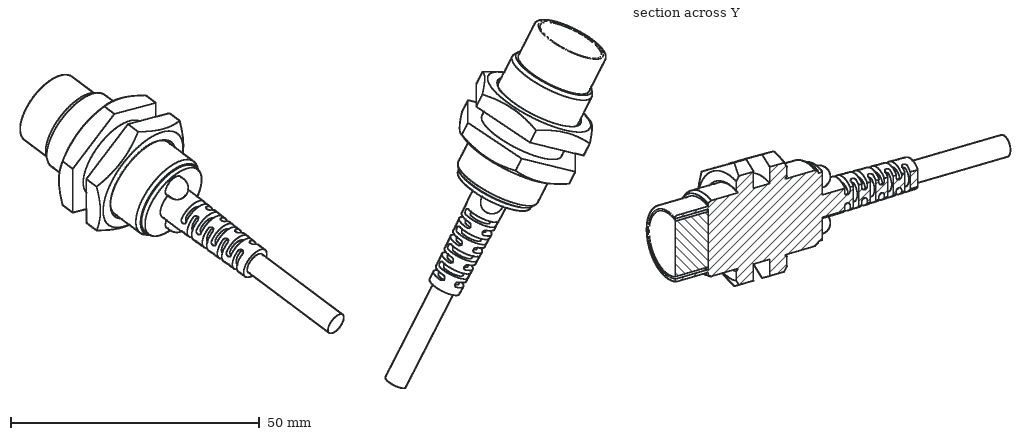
import cadquery as cq
import math


TOTAL_LENGTH = 81.0
HEAD_DIAMETER = 16.0
HEAD_EDGE_RADIUS = 0.5
HEAD_LENGTH = 7.95
BARREL_DIAMETER = 18.0
BARREL_FRONT_CHAMFER = (0.8, 0.5)
BARREL_BACK_CHAMFER = (0.8, 0.5)
BARREL_END = 34.5
END_CAP_DIAMETER = 16.4
END_CAP_END = 35.5

FACE_THICKNESS = 0.2
RECESS_DIAMETER = 14.5
CORE_DIAMETER = 13.7

NUT_ACROSS_FLATS = 24.0
NUT_THICKNESS = 4.2
NUT_CHAMFER_DIAMETER = 23.0
NUT_CHAMFER_ANGLE = 30.0
NUT_COUNTERSINK_DIAMETER = 18.8
FRONT_NUT_START = 14.75
NUT_GAP = 3.8

LAMP_DIAMETER = 4.6
LAMP_OFFSET = 5.2
LAMP_STRAIGHT_LENGTH = 1.0

SLEEVE_DIAMETER = 7.5
SLEEVE_END_DIAMETER = 6.7
SLEEVE_TAPER_START = 39.9
SLEEVE_END = 58.4
CABLE_DIAMETER = 4.6

SLOT_WIDTH = 1.2
SLOT_PITCH = 4.1
SLOTS_PER_SET = 4
FIRST_SLOT_CENTRE = 41.5
SLOT_HALF_ANGLE = 59.0


def disc(diameter, start, end):
    """Cylinder on the X axis between two stations."""
    return cq.Workplane("YZ", origin=(start, 0, 0)).circle(diameter / 2).extrude(end - start)


def make_barrel():
    """Turned housing: head, chamfered barrel and end cap."""
    head_radius = HEAD_DIAMETER / 2
    barrel_radius = BARREL_DIAMETER / 2
    cap_radius = END_CAP_DIAMETER / 2
    front_axial, front_radial = BARREL_FRONT_CHAMFER
    back_axial, back_radial = BARREL_BACK_CHAMFER
    return (
        cq.Workplane("XY")
        .lineTo(0, head_radius - HEAD_EDGE_RADIUS)
        .radiusArc((HEAD_EDGE_RADIUS, head_radius), HEAD_EDGE_RADIUS)
        .lineTo(HEAD_LENGTH, head_radius)
        .lineTo(HEAD_LENGTH, barrel_radius - front_radial)
        .lineTo(HEAD_LENGTH + front_axial, barrel_radius)
        .lineTo(BARREL_END - back_axial, barrel_radius)
        .lineTo(BARREL_END, barrel_radius - back_radial)
        .lineTo(BARREL_END, cap_radius)
        .lineTo(END_CAP_END, cap_radius)
        .lineTo(END_CAP_END, 0)
        .close()
        .revolve(360, (0, 0, 0), (1, 0, 0))
    )


def make_nut():
    """Nut from x = 0 with its chamfered outer face there and its corners on the Z axis."""
    corner_radius = NUT_ACROSS_FLATS / math.sqrt(3)
    face_radius = NUT_CHAMFER_DIAMETER / 2
    bore_radius = BARREL_DIAMETER / 2
    countersink_radius = NUT_COUNTERSINK_DIAMETER / 2
    chamfer_depth = (corner_radius - face_radius) * math.tan(math.radians(NUT_CHAMFER_ANGLE))
    hexagon = (
        cq.Workplane("YZ")
        .transformed(rotate=(0, 0, 90))
        .polygon(6, 2 * corner_radius)
        .extrude(NUT_THICKNESS)
    )
    turned_shape = (
        cq.Workplane("XY")
        .moveTo(0, countersink_radius)
        .lineTo(0, face_radius)
        .lineTo(chamfer_depth, corner_radius)
        .lineTo(NUT_THICKNESS, corner_radius)
        .lineTo(NUT_THICKNESS, bore_radius)
        .lineTo(countersink_radius - bore_radius, bore_radius)
        .close()
        .revolve(360, (0, 0, 0), (1, 0, 0))
    )
    return hexagon.intersect(turned_shape)


def make_nut_pair():
    """Two nuts, mirror images of each other, with their flat faces turned inwards."""
    gap_centre = FRONT_NUT_START + NUT_THICKNESS + NUT_GAP / 2
    front_nut = make_nut().translate((FRONT_NUT_START, 0, 0))
    back_nut = front_nut.mirror("YZ", (gap_centre, 0, 0))
    return front_nut, back_nut


def make_lamp(height):
    """Domed indicator lamp on the back of the housing."""
    radius = LAMP_DIAMETER / 2
    dome_centre = END_CAP_END + LAMP_STRAIGHT_LENGTH
    stem = disc(LAMP_DIAMETER, END_CAP_END, dome_centre)
    dome = cq.Workplane("XY").sphere(radius).translate((dome_centre, 0, 0))
    return stem.union(dome).translate((0, 0, height))


def make_slot(centre):
    """Cutter for a slot around the top of the sleeve, with round ends, down to the cable."""
    half_angle = math.radians(SLOT_HALF_ANGLE)
    reach = SLEEVE_DIAMETER
    start = centre - SLOT_WIDTH / 2
    slot = (
        cq.Workplane("YZ", origin=(start, 0, 0))
        .lineTo(-reach * math.sin(half_angle), reach * math.cos(half_angle))
        .lineTo(0, 2 * reach)
        .lineTo(reach * math.sin(half_angle), reach * math.cos(half_angle))
        .close()
        .extrude(SLOT_WIDTH)
    )
    for angle in (-SLOT_HALF_ANGLE, SLOT_HALF_ANGLE):
        round_end = cq.Workplane("XY").center(centre, 0).circle(SLOT_WIDTH / 2).extrude(reach)
        slot = slot.union(round_end.rotate((0, 0, 0), (1, 0, 0), angle))
    return slot.cut(disc(CABLE_DIAMETER, start, start + SLOT_WIDTH))


def make_sleeve():
    """Tapered strain relief with slots alternating between top and bottom, and both sides."""
    sleeve = (
        cq.Workplane("XY")
        .moveTo(END_CAP_END, 0)
        .lineTo(END_CAP_END, SLEEVE_DIAMETER / 2)
        .lineTo(SLEEVE_TAPER_START, SLEEVE_DIAMETER / 2)
        .lineTo(SLEEVE_END, SLEEVE_END_DIAMETER / 2)
        .lineTo(SLEEVE_END, 0)
        .close()
        .revolve(360, (0, 0, 0), (1, 0, 0))
    )
    for index in range(SLOTS_PER_SET):
        centre = FIRST_SLOT_CENTRE + index * SLOT_PITCH
        upright_slot = make_slot(centre)
        sideways_slot = make_slot(centre + SLOT_PITCH / 2)
        for angle in (0, 180):
            sleeve = sleeve.cut(upright_slot.rotate((0, 0, 0), (1, 0, 0), angle))
            sleeve = sleeve.cut(sideways_slot.rotate((0, 0, 0), (1, 0, 0), angle + 90))
    return sleeve


def make_cable():
    """Plain round cable that starts at the back of the housing."""
    return disc(CABLE_DIAMETER, END_CAP_END, TOTAL_LENGTH)


def make_recess():
    """Space inside the head that holds the core, closed by the thin sensing face."""
    return disc(RECESS_DIAMETER, FACE_THICKNESS, HEAD_LENGTH)


def make_housing():
    """Barrel with its nuts, lamps, sleeve and cable in one piece, hollow in the head."""
    housing = make_barrel().union(make_sleeve()).union(make_cable())
    for nut in make_nut_pair():
        housing = housing.union(nut)
    for height in (LAMP_OFFSET, -LAMP_OFFSET):
        housing = housing.union(make_lamp(height))
    return housing.cut(make_recess())


def make_core():
    """Round sensing core that fills the length of the recess, with a ring gap around it."""
    return disc(CORE_DIAMETER, FACE_THICKNESS, HEAD_LENGTH)


housing = make_housing()
core = make_core()

result = cq.Compound.makeCompound([housing.val(), core.val()])